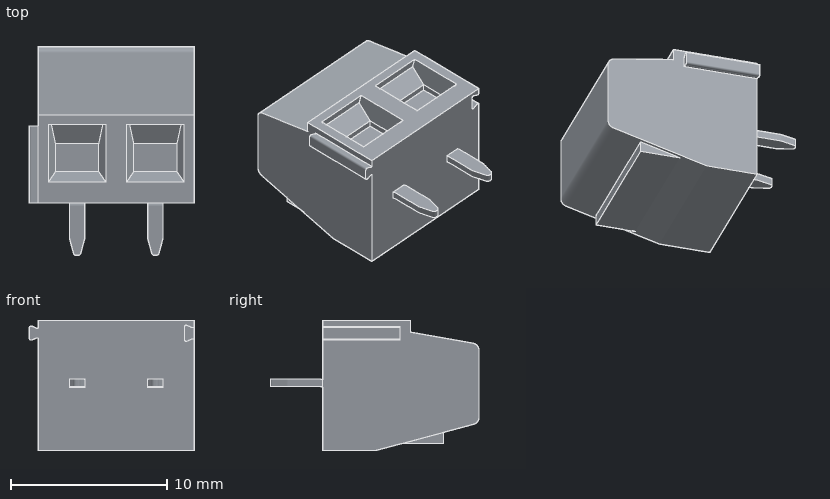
import cadquery as cq
import math


total_depth = 13.35
pole_pitch = 5.0
pole_count = 2
body_width = pole_count * pole_pitch
body_depth = 10.0
body_height = 8.33
deck_depth = 5.62
deck_step = 0.75
roof_angle = 10.0
base_depth = 3.38
underside_angle = 15.0
rear_corner_radius = 0.5

pad_side_inset = 0.3
pad_rear = 7.73
pad_bottom = 0.45

coupling_length = 4.93
coupling_round = 0.15
rail_center = body_height - 0.81
rail_reach = 0.57
rail_head_round = 0.15
rail_head_half_flat = 0.31
rail_neck_half = 0.32
rail_trough_offset = 0.07
groove_center = body_height - 0.83
groove_reach = 0.63
groove_head_round = 0.1
groove_head_half_flat = 0.43
groove_neck_half = 0.36
groove_trough_offset = 0.12

well_size = 3.67
well_front = 1.34
well_rear_lip = 0.5
funnel_depth = 1.15
pit_width = 2.76
pit_front = 2.0
pit_rear = 3.79
pit_depth = 0.44

pin_width = 1.0
pin_thickness = 0.5
pin_top = body_height - 3.74
pin_length = total_depth - body_depth
pin_shoulder = 2.24
pin_taper_angle = 15.0
pin_shoulder_radius = 0.33
pin_tip_radius = 0.2
pin_bend_length = 0.17
pin_bend_drop = 0.047


def rise(run, angle):
    """Height gained over a horizontal run at an angle in degrees."""
    return run * math.tan(math.radians(angle))


def extrude_side_outline(points, x_start, x_end):
    """Prism of a (Y, Z) outline between two X positions."""
    return cq.Workplane("YZ", origin=(x_start, 0, 0)).polyline(points).close().extrude(x_end - x_start)


def make_housing():
    roof_edge = body_height - deck_step
    roof_rear = roof_edge - rise(body_depth - deck_depth, roof_angle)
    underside_rear = rise(body_depth - base_depth, underside_angle)
    outline = [
        (0, 0),
        (base_depth, 0),
        (body_depth, underside_rear),
        (body_depth, roof_rear),
        (deck_depth, roof_edge),
        (deck_depth, body_height),
        (0, body_height),
    ]
    housing = extrude_side_outline(outline, 0, body_width)
    return housing.faces(">Y").edges("|X").fillet(rear_corner_radius)


def make_pad():
    """Block filling part of the space below the sloping underside."""
    pad_front = base_depth + pad_bottom / rise(1, underside_angle)
    outline = [
        (pad_front, pad_bottom),
        (pad_rear, pad_bottom),
        (pad_rear, rise(pad_rear - base_depth, underside_angle)),
    ]
    return extrude_side_outline(outline, pad_side_inset, body_width - pad_side_inset)


def make_coupling(side_x, center_z, reach, head_round, head_half_flat, neck_half, trough_offset):
    """Dovetail-like bar reaching in -X from side_x, with a rounded head and a hollowed neck."""
    head_x = -reach + head_round
    head_z = head_half_flat
    trough_x = -trough_offset
    trough_z = neck_half + coupling_round

    distance = math.hypot(trough_x - head_x, trough_z - head_z)
    center_line_angle = math.atan2(trough_z - head_z, trough_x - head_x)
    normal = center_line_angle + math.acos((head_round + coupling_round) / distance)
    flank_head = (head_x + head_round * math.cos(normal), head_z + head_round * math.sin(normal))
    flank_neck = (
        trough_x - coupling_round * math.cos(normal),
        trough_z - coupling_round * math.sin(normal),
    )
    head_middle_angle = (normal + math.pi) / 2
    head_middle = (
        head_x + head_round * math.cos(head_middle_angle),
        head_z + head_round * math.sin(head_middle_angle),
    )
    neck_bottom = (trough_x, neck_half)
    mouth = (0, trough_z - math.sqrt(coupling_round**2 - trough_offset**2))
    head_corner = (-reach, head_half_flat)

    def below(point):
        return (point[0], -point[1])

    return (
        cq.Workplane("XZ", origin=(side_x, 0, center_z))
        .moveTo(*below(head_corner))
        .lineTo(*head_corner)
        .threePointArc(head_middle, flank_head)
        .lineTo(*flank_neck)
        .threePointArc(neck_bottom, mouth)
        .lineTo(*below(mouth))
        .threePointArc(below(neck_bottom), below(flank_neck))
        .lineTo(*below(flank_head))
        .threePointArc(below(head_middle), below(head_corner))
        .close()
        .extrude(-coupling_length)
    )


def make_well(center_x):
    """Funnel with an upright rear lip, ending in a straight-sided pit."""
    funnel_bottom = body_height - funnel_depth
    floor = funnel_bottom - pit_depth
    well_rear = well_front + well_size
    side_outline = [
        (well_front, body_height),
        (pit_front, funnel_bottom),
        (pit_front, floor),
        (pit_rear, floor),
        (pit_rear, funnel_bottom),
        (well_rear, body_height - well_rear_lip),
        (well_rear, body_height),
    ]
    front_outline = [
        (-well_size / 2, body_height),
        (-pit_width / 2, funnel_bottom),
        (-pit_width / 2, floor),
        (pit_width / 2, floor),
        (pit_width / 2, funnel_bottom),
        (well_size / 2, body_height),
    ]
    across = extrude_side_outline(side_outline, center_x - well_size / 2, center_x + well_size / 2)
    along = (
        cq.Workplane("XZ", origin=(center_x, 0, 0))
        .polyline(front_outline)
        .close()
        .extrude(-well_rear)
    )
    return across.intersect(along)


def make_pin(center_x):
    """Flat pin with a tapered, rounded tip and a slight bend where it leaves the housing."""
    half_width = pin_width / 2
    tip_half_width = half_width - rise(pin_length - pin_shoulder, pin_taper_angle)
    bend_bottom = pin_top - pin_thickness
    side_outline = [
        (0, pin_top - pin_bend_drop),
        (-pin_bend_length, pin_top),
        (-pin_length, pin_top),
        (-pin_length, bend_bottom),
        (-pin_bend_length, bend_bottom),
        (0, bend_bottom - pin_bend_drop),
    ]
    plan_outline = [
        (-half_width, 0),
        (-half_width, -pin_shoulder),
        (-tip_half_width, -pin_length),
        (tip_half_width, -pin_length),
        (half_width, -pin_shoulder),
        (half_width, 0),
    ]
    plan = cq.Workplane("XY", origin=(center_x, 0, 0)).polyline(plan_outline).close().extrude(body_height)
    plan = plan.faces("<Y").edges("|Z").fillet(pin_tip_radius)
    shoulder_margin = 0.13
    shoulder_zone = cq.selectors.BoxSelector(
        (center_x - pin_width, -pin_shoulder - shoulder_margin, 0),
        (center_x + pin_width, -pin_shoulder + shoulder_margin, body_height),
    )
    plan = plan.edges("|Z").edges(shoulder_zone).fillet(pin_shoulder_radius)
    side = extrude_side_outline(side_outline, center_x - half_width, center_x + half_width)
    return plan.intersect(side)


rail = make_coupling(
    0, rail_center, rail_reach, rail_head_round, rail_head_half_flat, rail_neck_half, rail_trough_offset
)
groove = make_coupling(
    body_width,
    groove_center,
    groove_reach,
    groove_head_round,
    groove_head_half_flat,
    groove_neck_half,
    groove_trough_offset,
)

result = make_housing().union(make_pad()).union(rail).cut(groove)
for pole in range(pole_count):
    pole_x = (pole + 0.5) * pole_pitch
    result = result.cut(make_well(pole_x)).union(make_pin(pole_x))